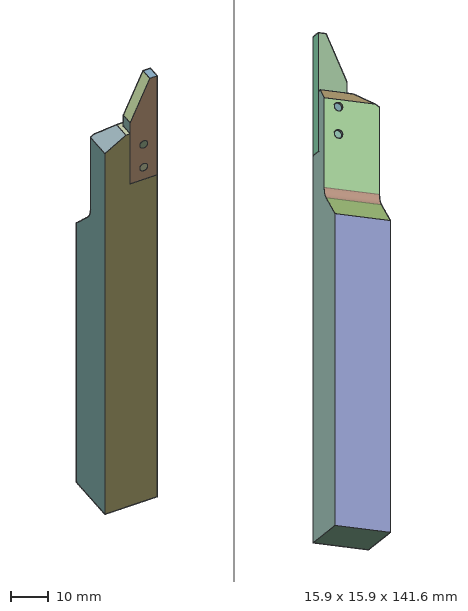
import cadquery as cq

shank_side = 15.9
overall_height = 141.6
back_x = shank_side / 2
side_y = shank_side / 2

neck_thickness = 8.1
neck_front_x = back_x - neck_thickness
holder_height = 125.2
slope_start_z = 87.2
slope_end_z = slope_start_z + shank_side - neck_thickness
neck_fillet_radius = 4.7

front_bevel_depth = 2.8
front_bevel_drop = 3.1
side_bevel_depth = 6.4
side_bevel_drop = 3.8

blade_thickness = 3.8
blade_width = 8.2
blade_tip_width = 2.3
blade_shoulder_z = 128.9

pin_diameter = 2.4
pin_y = side_y - blade_width / 2
pin_recess = 0.8
upper_pin_z = 120.1
pin_spacing = 7.6
pin_heights = [upper_pin_z, upper_pin_z - pin_spacing]

tang_end_z = min(pin_heights) - blade_width / 2


def prism_along_y(points):
    """Extrude an XZ outline over the full width of the bar."""
    return cq.Workplane("XZ").polyline(points).close().extrude(shank_side / 2, both=True)


def make_holder_body():
    """Square shank that slopes at 45 degrees into the thinner neck."""
    body = prism_along_y([
        (back_x, 0),
        (-back_x, 0),
        (-back_x, slope_start_z),
        (neck_front_x, slope_end_z),
        (neck_front_x, holder_height - front_bevel_drop),
        (neck_front_x + front_bevel_depth, holder_height),
        (back_x, holder_height),
    ])
    inner_corner = cq.selectors.NearestToPointSelector((neck_front_x, 0, slope_end_z))
    return body.edges(inner_corner).fillet(neck_fillet_radius)


def make_side_bevel():
    """Wedge removed from the top of the neck on the side away from the blade."""
    return (
        cq.Workplane("YZ")
        .polyline([
            (-side_y, holder_height),
            (-side_y + side_bevel_depth, holder_height),
            (-side_y, holder_height - side_bevel_drop),
        ])
        .close()
        .extrude(shank_side / 2, both=True)
    )


def make_pin_rod(pin_z, front_x):
    """Round rod along X, from front_x to the back face of the neck."""
    return (
        cq.Workplane("YZ", origin=(front_x, 0, 0))
        .center(pin_y, pin_z)
        .circle(pin_diameter / 2)
        .extrude(back_x - front_x)
    )


def make_blade_blank():
    """Tapered blade with its straight tang, before the pin holes."""
    return (
        cq.Workplane("YZ", origin=(back_x - blade_thickness, 0, 0))
        .polyline([
            (side_y, tang_end_z),
            (side_y, overall_height),
            (side_y - blade_tip_width, overall_height),
            (side_y - blade_width, blade_shoulder_z),
            (side_y - blade_width, tang_end_z),
        ])
        .close()
        .extrude(blade_thickness)
    )


blade = make_blade_blank()
holder = make_holder_body().cut(make_side_bevel()).cut(blade)
pins = []
for pin_z in pin_heights:
    pin_hole = make_pin_rod(pin_z, neck_front_x)
    holder = holder.cut(pin_hole)
    blade = blade.cut(pin_hole)
    pins.append(make_pin_rod(pin_z, neck_front_x + pin_recess))

result = cq.Compound.makeCompound([holder.val(), blade.val(), *[pin.val() for pin in pins]])